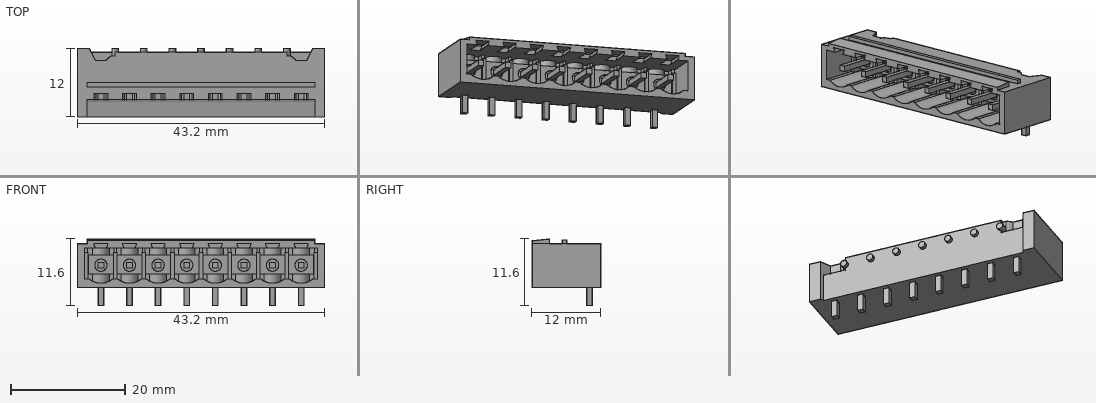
import cadquery as cq

pin_count = 8
pitch = 5.0
pin_xs = [(i - (pin_count - 1) / 2) * pitch for i in range(pin_count)]
between_xs = [(i - (pin_count - 2) / 2) * pitch for i in range(pin_count - 1)]

length = 43.2
depth = 12.0
height = 7.7
back_y = 11.35
ear_width = 2.1

end_wall = 1.2
cavity_length = length - 2 * end_wall
cavity_depth = 9.0
floor_z = 1.55
ceiling_z = 6.9

pin_size = 1.0
pin_z = 3.93
pin_tip_y = 0.9
pin_leg_y = 10.0
pin_bottom_z = -3.13

trough_radius = 3.15

column_radius = 1.47
rib_width = 0.65
rib_front_y = 6.5
rib_top_z = 6.12
upper_rib_width = 0.5
upper_rib_front_y = 7.25
block_front_y = 7.0
block_bottom_z = 2.35
block_top_z = 5.75
recess_diameter = 2.15
recess_depth = 0.5

keyway_diameter = 2.4
keyway_end_y = 4.1

bar_length = 39.8
wedge_depth = 3.05
wedge_flat = 0.25
wedge_front_height = 0.5
wedge_back_height = 0.8
rail_front_y = 5.25
rail_depth = 0.8
rail_height = 0.65

notch_floor_z = 5.2
notch_bottom_y = 9.92
notch_step_y = 10.7
notch_outer_x = length / 2 - 3.12
notch_inner_x = length / 2 - 5.0
notch_step_x = length / 2 - 5.95
notch_end_x = max(between_xs)
notch_corner_bulge = 0.08

peg_diameter = 1.2
peg_z = 6.2


def box(x_mid, width, y_range, z_range):
    """Box centred on x_mid, between the given Y and Z limits."""
    y0, y1 = y_range
    z0, z1 = z_range
    return cq.Workplane("XY").box(width, y1 - y0, z1 - z0).translate((x_mid, (y0 + y1) / 2, (z0 + z1) / 2))


def rod_along_y(x, z, diameter, y0, y1):
    """Round rod parallel to Y."""
    return cq.Workplane("XZ", origin=(x, y0, z)).circle(diameter / 2).extrude(y0 - y1)


def bar_along_x(yz_points):
    """Bar on the top face with the given YZ outline, centred along X."""
    return cq.Workplane("YZ").polyline(yz_points).close().extrude(bar_length / 2, both=True)


def ear_flank_x(y):
    """Half-width at which the slanted inner flank of an ear lies at the given Y."""
    ear_x = length / 2 - ear_width
    return ear_x + (notch_outer_x - ear_x) * (depth - y) / (depth - notch_bottom_y)


def shell():
    """Block with two ears at the rear ends."""
    outer_x = length / 2
    ear_x = outer_x - ear_width
    step_x = ear_flank_x(back_y)
    outline = [
        (-outer_x, 0), (outer_x, 0), (outer_x, depth), (ear_x, depth), (step_x, back_y),
        (-step_x, back_y), (-ear_x, depth), (-outer_x, depth),
    ]
    return cq.Workplane("XY").polyline(outline).close().extrude(height)


def rear_notch():
    """Cutter for the notch beside the +X ear, open to the top and the rear."""
    return (
        cq.Workplane("XY", origin=(0, 0, notch_floor_z))
        .moveTo(ear_flank_x(depth), depth)
        .lineTo(notch_outer_x, notch_bottom_y)
        .lineTo(notch_inner_x, notch_bottom_y)
        .sagittaArc((notch_step_x, notch_step_y), -notch_corner_bulge)
        .lineTo(notch_end_x, notch_step_y)
        .lineTo(notch_end_x, depth)
        .close()
        .extrude(height - notch_floor_z)
    )


def keyway(x):
    """Half-round cutter from the top face down through the cavity ceiling, narrower below."""
    return rod_along_y(x, height, keyway_diameter, 0, keyway_end_y)


def trough(x):
    """Round trough cutter, limited to the part below the pin axis."""
    rod = rod_along_y(x, pin_z, 2 * trough_radius, 0, cavity_depth)
    return rod.intersect(box(x, pitch, (0, cavity_depth), (0, floor_z + pin_size)))


def cell_back(x):
    """Column and cross block behind one pin, with a round recess around the pin."""
    column = cq.Workplane("XY", origin=(x, cavity_depth, 0)).circle(column_radius).extrude(height)
    block = box(x, pitch - rib_width, (block_front_y, cavity_depth), (block_bottom_z, block_top_z))
    recess = rod_along_y(x, pin_z, recess_diameter, block_front_y, block_front_y + recess_depth)
    return column.union(block).cut(recess)


def rib(x, width, upper_width):
    """Stepped rib standing on the cavity floor against the back wall."""
    lower = box(x, width, (rib_front_y, cavity_depth), (floor_z, rib_top_z))
    upper = box(x, upper_width, (upper_rib_front_y, cavity_depth), (rib_top_z, ceiling_z))
    return lower.union(upper)


def pin(x):
    """Right-angled square pin: horizontal contact arm and vertical solder leg."""
    half = pin_size / 2
    arm = box(x, pin_size, (pin_tip_y, pin_leg_y + half), (pin_z - half, pin_z + half))
    leg = box(x, pin_size, (pin_leg_y - half, pin_leg_y + half), (pin_bottom_z, pin_z + half))
    return arm.union(leg)


def build_housing():
    body = shell()

    body = body.cut(box(0, cavity_length, (0, cavity_depth), (floor_z, ceiling_z)))
    for x in pin_xs:
        body = body.cut(trough(x)).cut(keyway(x))

    for x in pin_xs:
        body = body.union(cell_back(x))
    for x in between_xs:
        body = body.union(rib(x, rib_width, upper_rib_width))
    end_rib_x = (cavity_length - rib_width) / 2
    for side in (-1, 1):
        body = body.union(rib(side * end_rib_x, rib_width, upper_rib_width))

    wedge_outline = [
        (0, height), (0, height + wedge_front_height),
        (wedge_depth - wedge_flat, height + wedge_back_height),
        (wedge_depth, height + wedge_back_height), (wedge_depth, height),
    ]
    body = body.union(bar_along_x(wedge_outline))
    rail_y_range = (rail_front_y, rail_front_y + rail_depth)
    body = body.union(box(0, bar_length, rail_y_range, (height, height + rail_height)))

    notch = rear_notch()
    body = body.cut(notch).cut(notch.mirror("YZ"))
    for x in between_xs:
        body = body.union(rod_along_y(x, peg_z, peg_diameter, notch_step_y, depth))
    return body


pins = [pin(x) for x in pin_xs]
housing = build_housing()
for contact in pins:
    housing = housing.cut(contact)

result = cq.Compound.makeCompound([housing.val(), *[contact.val() for contact in pins]])